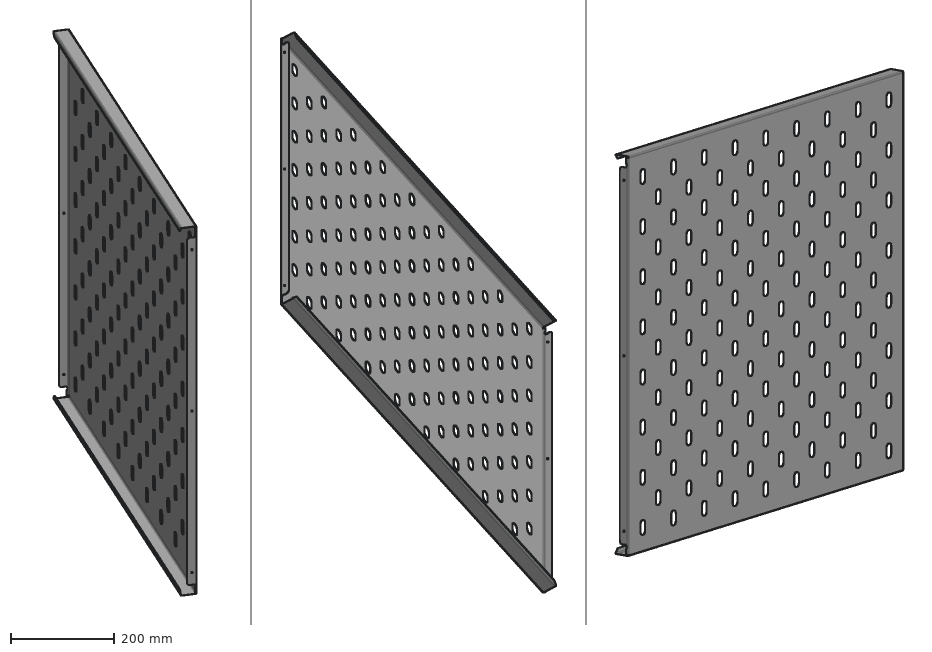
import cadquery as cq

WIDTH = 898.0
DEPTH = 33.0
HEIGHT = 798.0

SHEET = 1.5
BEND_OUTER = 3.0
BEND_INNER = BEND_OUTER - SHEET

LIP_HEIGHT = 10.5
LIP_BEVEL_START = 2.0
LIP_BEVEL_SETBACK = 7.0

SIDE_DEPTH = 20.5
SIDE_END_GAP = 22.0
SIDE_CORNER_RADIUS = 7.0
SIDE_STUB_DEPTH = 5.0
SIDE_HOLE_DIAMETER = 3.0
SIDE_HOLE_FROM_BACK = 10.5
SIDE_HOLE_SPACING = 350.0

RELIEF_RADIUS = 5.0
RELIEF_FROM_BACK = 8.5
RELIEF_FROM_END = 18.0

SLOT_WIDTH = 15.0
SLOT_LENGTH = 30.0
SLOT_PITCH = 100.0
OUTER_COLUMNS = 9
OUTER_ROWS = 8

CUT_MARGIN = 1.0


def block(width, depth, height, back=0.0):
    """Box centred on X and Z whose rear face lies at Y = back."""
    return cq.Workplane("XY").box(width, depth, height).translate((0, back - depth / 2, 0))


def cross_holes(radius, from_back, heights):
    """Round cutters along X, through both side flanges, one at each height."""
    return (
        cq.Workplane("YZ")
        .pushPoints([(-from_back, z) for z in heights])
        .circle(radius)
        .extrude(WIDTH / 2 + CUT_MARGIN, both=True)
    )


def sheet_with_horizontal_flanges():
    """Back sheet bent forward along the top and bottom, ending in return lips with sloped ends."""
    length = WIDTH - 2 * BEND_OUTER
    outside = block(length, DEPTH, HEIGHT).edges("|X").fillet(BEND_OUTER)
    inside = block(length, DEPTH - 2 * SHEET, HEIGHT - 2 * SHEET, -SHEET)
    inside = inside.edges("|X").fillet(BEND_INNER)

    x_end = length / 2
    z_edge = HEIGHT / 2 - LIP_BEVEL_START
    z_lip = HEIGHT / 2 - LIP_HEIGHT
    x_lip = x_end - LIP_BEVEL_SETBACK
    mouth = (
        cq.Workplane("XZ", origin=(0, -DEPTH + BEND_OUTER, 0))
        .moveTo(-x_end, -z_edge)
        .lineTo(-x_lip, -z_lip)
        .lineTo(x_lip, -z_lip)
        .lineTo(x_end, -z_edge)
        .lineTo(x_end, z_edge)
        .lineTo(x_lip, z_lip)
        .lineTo(-x_lip, z_lip)
        .lineTo(-x_end, z_edge)
        .close()
        .extrude(BEND_OUTER + CUT_MARGIN)
    )
    return outside.cut(inside).cut(mouth)


def sheet_with_side_flanges():
    """Back sheet bent forward along both sides, with shortened, round-cornered flanges."""
    height = HEIGHT - 2 * BEND_OUTER
    outside = block(WIDTH, SIDE_DEPTH, height).edges("|Z and >Y").fillet(BEND_OUTER)
    inside = block(WIDTH - 2 * SHEET, SIDE_DEPTH, height, -SHEET)
    inside = inside.edges("|Z and >Y").fillet(BEND_INNER)

    flange_limits = block(WIDTH, SIDE_DEPTH, HEIGHT - 2 * SIDE_END_GAP)
    flange_limits = flange_limits.edges("|X and <Y").fillet(SIDE_CORNER_RADIUS)
    bend_limits = block(WIDTH, SIDE_STUB_DEPTH, height)
    wall_limits = flange_limits.union(bend_limits)

    relief_height = HEIGHT / 2 - RELIEF_FROM_END
    reliefs = cross_holes(RELIEF_RADIUS, RELIEF_FROM_BACK, (-relief_height, relief_height))
    return outside.cut(inside).intersect(wall_limits).cut(reliefs)


def perforation():
    """Slots of both staggered grids; the inner grid has one row and one column fewer."""
    slots = cq.Workplane("XZ", origin=(0, CUT_MARGIN, 0))
    for fewer in (0, 1):
        slots = slots.rarray(SLOT_PITCH, SLOT_PITCH, OUTER_COLUMNS - fewer, OUTER_ROWS - fewer)
        slots = slots.slot2D(SLOT_LENGTH, SLOT_WIDTH, 90)
    return slots.extrude(SHEET + 2 * CUT_MARGIN)


panel = sheet_with_horizontal_flanges().union(sheet_with_side_flanges())
side_holes = cross_holes(
    SIDE_HOLE_DIAMETER / 2, SIDE_HOLE_FROM_BACK, (-SIDE_HOLE_SPACING, 0, SIDE_HOLE_SPACING)
)
result = panel.cut(perforation()).cut(side_holes)